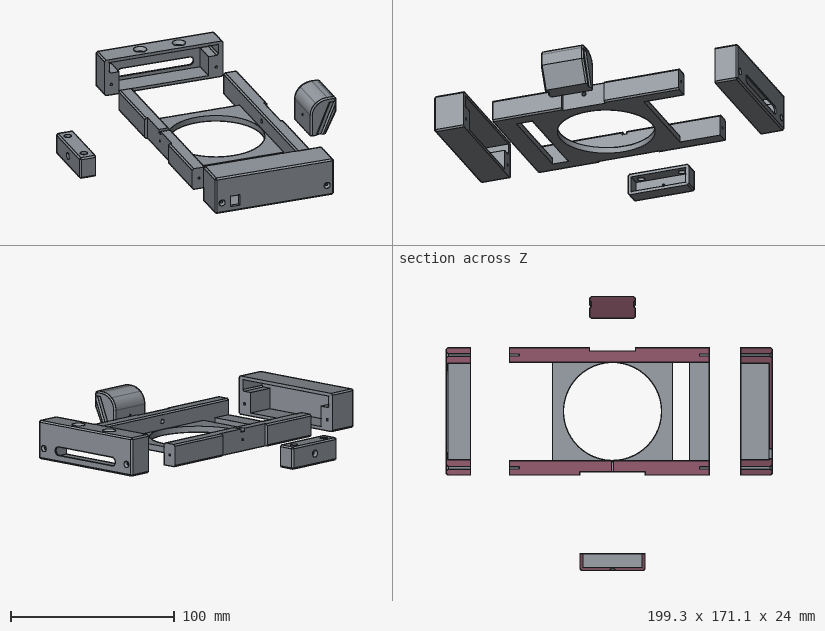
import cadquery as cq
import math

edge_chamfer = 1.0
overall_length = 199.3
frame_width = 78.0
rail_width = 9.0
rail_height = 14.0
half_width = frame_width / 2
inner_half_width = half_width - rail_width
screw_height = rail_height / 2
screw_head_diameter = 4.0
screw_hole_diameter = 1.4
pilot_diameter = 1.2
pilot_depth = 6.0

rail_start = -63.0
rail_length = 122.2
rail_end = rail_start + rail_length
plate_length = 73.3
plate_thickness = 3.8
opening_diameter = 59.8
bar_length = 12.2
bar_thickness = 3.8
recess_depth = 2.0
notch_width = 3.0
notch_depth = 2.0

block_length = 39.9
block_width = 10.4
block_front = -97.3
block_wall = 2.0
block_screw_head = 4.4
block_hole_diameter = 4.4
block_hole_offset = 13.4

clip_length = 28.0
clip_width = 17.0
clip_height = 24.0
clip_front = 56.8
clip_screw_height = 8.8
clip_screw_diameter = 2.5
clip_base_width = 10.2
clip_back_low = 14.0
clip_crown_radius = 12.0
clip_brow_radius = 9.5
clip_brow_angle = 39.0
clip_back_fillet = 2.5
groove_foot = 8.2
groove_lean = 22.5
groove_mouth = 4.4
groove_floor = 2.2
groove_depth = 1.0
groove_top = 20.7

cap_height = 24.0
cap_left = -101.6
left_cap_length = 15.0
right_cap_length = 19.3
cap_skin = 2.0
left_cap_end_wall = 1.0
right_cap_end_wall = 2.0
cap_side_wall = 3.2
post_width = 9.5
ledge_height = 14.7
ledge_chamfer = 1.0
cap_slot_length = 50.2
cap_slot_height = 5.4
cap_screw_offset = half_width - rail_width / 2
roof_hole_offset = 12.8
roof_hole_from_end = 7.8
roof_head_diameter = 8.2
roof_hole_diameter = 4.0
port_width = 6.0
port_height = 7.0
port_side = -23.0


def box(length, width, height, x, y, z=0.0):
    """Box that starts at x, is centred on y and stands on z."""
    return cq.Workplane("XY").box(length, width, height, centered=(False, True, False)).translate((x, y, z))


def cylinder(diameter, depth, start, direction):
    return cq.Workplane(cq.Solid.makeCylinder(diameter / 2, depth, cq.Vector(*start), cq.Vector(*direction)))


def countersunk_hole(head, hole, depth, start, direction):
    """Cutter for a straight hole with a 45 degree conical mouth at start."""
    sink = (head - hole) / 2
    cone = cq.Solid.makeCone(head / 2, hole / 2, sink, cq.Vector(*start), cq.Vector(*direction))
    return cylinder(hole, depth, start, direction).union(cq.Workplane(cone))


def make_rail(side):
    """Rail on the +Y or -Y side, chamfered along its length."""
    rail = box(rail_length, rail_width, rail_height, rail_start, side * (half_width - rail_width / 2))
    outer_face = ">Y" if side > 0 else "<Y"
    return rail.edges(f"|X and (>Z or {outer_face})").chamfer(edge_chamfer)


def make_frame():
    plate = box(plate_length, 2 * inner_half_width, plate_thickness, -plate_length / 2, 0)
    plate = plate.cut(cylinder(opening_diameter, cap_height, (0, 0, 0), (0, 0, 1)))
    bar = box(bar_length, 2 * inner_half_width, bar_thickness, rail_end - bar_length, 0)
    frame = make_rail(1).union(make_rail(-1)).union(plate).union(bar)

    for side, length in ((1, clip_length), (-1, block_length)):
        recess = box(length, 2 * recess_depth, rail_height, -length / 2, side * half_width)
        frame = frame.cut(recess)

    notch_y = -half_width + rail_width / 2
    frame = frame.cut(box(notch_width, 2 * rail_width, notch_depth, -notch_width / 2, notch_y, rail_height - notch_depth))

    frame = frame.cut(cylinder(pilot_diameter, pilot_depth, (0, -half_width + recess_depth, screw_height), (0, 1, 0)))
    start = (0, inner_half_width, clip_screw_height)
    frame = frame.cut(cylinder(clip_screw_diameter, rail_width, start, (0, 1, 0)))
    for side in (1, -1):
        for x, direction in ((rail_start, 1), (rail_end, -1)):
            start = (x, side * cap_screw_offset, screw_height)
            frame = frame.cut(cylinder(pilot_diameter, pilot_depth, start, (direction, 0, 0)))
    return frame


def make_block():
    """Block that is hollow and open at the back."""
    block = box(block_length, block_width, rail_height, -block_length / 2, block_front + block_width / 2)
    block = block.edges("not >Y").chamfer(edge_chamfer)
    cavity = box(block_length - 2 * block_wall, block_width, rail_height - 2 * block_wall,
                 -block_length / 2 + block_wall, block_front + block_width / 2 + block_wall, block_wall)
    block = block.cut(cavity)
    block = block.cut(countersunk_hole(
        block_screw_head, screw_hole_diameter, block_wall, (0, block_front, screw_height), (0, 1, 0)))
    for x in (-block_hole_offset, block_hole_offset):
        start = (x, block_front + block_width / 2, rail_height)
        block = block.cut(cylinder(block_hole_diameter, block_wall, start, (0, 0, -1)))
    return block


def make_clip_outline():
    """Side outline: Y runs back from the front face, Z runs up."""
    turn = math.radians(clip_brow_angle)
    half_turn = turn / 2
    brow_half_turn = (math.radians(90) + turn) / 2
    joint_y = clip_brow_radius * (1 - math.sin(turn))
    crown_y = joint_y + clip_crown_radius * math.sin(turn)
    crown_z = clip_height - clip_crown_radius
    joint_z = crown_z + clip_crown_radius * math.cos(turn)
    brow_z = joint_z - clip_brow_radius * math.cos(turn)
    crown_middle = (crown_y - clip_crown_radius * math.sin(half_turn),
                    crown_z + clip_crown_radius * math.cos(half_turn))
    brow_middle = (clip_brow_radius * (1 - math.sin(brow_half_turn)),
                   brow_z + clip_brow_radius * math.cos(brow_half_turn))
    fillet_diagonal = clip_back_fillet * (1 - math.sqrt(0.5))
    return (
        cq.Workplane("YZ", origin=(-clip_length / 2, clip_front, 0))
        .moveTo(0, 0)
        .lineTo(0, brow_z)
        .threePointArc(brow_middle, (joint_y, joint_z))
        .threePointArc(crown_middle, (crown_y, clip_height))
        .lineTo(clip_width - clip_back_fillet, clip_height)
        .threePointArc((clip_width - fillet_diagonal, clip_height - fillet_diagonal),
                       (clip_width, clip_height - clip_back_fillet))
        .lineTo(clip_width, clip_back_low)
        .lineTo(clip_base_width, 0)
        .close()
    )


def make_clip_groove():
    """Cutter for the flared groove that leans back on both ends."""
    lean = math.radians(groove_lean)
    along = cq.Vector(0, math.sin(lean), math.cos(lean))
    forward = cq.Vector(0, -along.z, along.y)
    start = cq.Vector(clip_length / 2, clip_front + groove_foot, 0) - along * clip_height
    plane = cq.Plane(origin=start, xDir=forward, normal=along)
    outward = plane.yDir.x
    flare = (groove_mouth - groove_floor) / 2
    section = [
        (0, 0),
        (groove_mouth, 0),
        (groove_mouth - flare, -outward * groove_depth),
        (flare, -outward * groove_depth),
    ]
    groove = cq.Workplane(plane).polyline(section).close().extrude(3 * clip_height)
    below_top = box(clip_length, 2 * clip_width, groove_top, -clip_length / 2, clip_front + clip_width / 2)
    groove = groove.intersect(below_top)
    return groove.union(groove.mirror("YZ"))


def make_clip():
    clip = make_clip_outline().extrude(clip_length)
    clip = clip.faces("<X or >X").edges("not <Z").chamfer(edge_chamfer)
    clip = clip.cut(make_clip_groove())
    return clip.cut(cylinder(pilot_diameter, pilot_depth, (0, clip_front, clip_screw_height), (0, 1, 0)))


def make_end_cap(length, end_wall):
    """Cap with its closed end at X = 0 and its open end at X = length."""
    cap = box(length, frame_width, cap_height, 0, 0)
    cap = cap.edges("not >X").chamfer(edge_chamfer)

    post_face = half_width - post_width
    side_face = half_width - cap_side_wall
    roof = cap_height - cap_skin
    half_outline = [
        (post_face, cap_skin),
        (post_face, ledge_height),
        (side_face - ledge_chamfer, ledge_height),
        (side_face, ledge_height + ledge_chamfer),
        (side_face, roof),
    ]
    mirrored = [(-y, z) for y, z in reversed(half_outline)]
    cavity = cq.Workplane("YZ", origin=(end_wall, 0, 0)).polyline(half_outline + mirrored).close().extrude(length)
    cap = cap.cut(cavity)
    for side in (1, -1):
        start = (0, side * cap_screw_offset, screw_height)
        cap = cap.cut(countersunk_hole(screw_head_diameter, screw_hole_diameter, length, start, (1, 0, 0)))
    return cap


def make_left_cap():
    cap = make_end_cap(left_cap_length, left_cap_end_wall)
    slot = cq.Workplane("YZ").center(0, screw_height).slot2D(cap_slot_length, cap_slot_height)
    cap = cap.cut(slot.extrude(left_cap_end_wall))
    for side in (1, -1):
        start = (roof_hole_from_end, side * roof_hole_offset, cap_height)
        cap = cap.cut(countersunk_hole(
            roof_head_diameter, roof_hole_diameter, cap_skin + edge_chamfer, start, (0, 0, -1)))
    return cap.translate((cap_left, 0, 0))


def make_right_cap():
    cap = make_end_cap(right_cap_length, right_cap_end_wall).rotate((0, 0, 0), (0, 0, 1), 180)
    port = box(right_cap_end_wall, port_width, port_height, -right_cap_end_wall, port_side - port_width / 2,
               screw_height - port_height / 2)
    return cap.cut(port).translate((cap_left + overall_length, 0, 0))


frame = make_frame()
block = make_block()
left_cap = make_left_cap()
right_cap = make_right_cap()
clip = make_clip()

result = cq.Compound.makeCompound([frame.val(), block.val(), clip.val(), left_cap.val(), right_cap.val()])